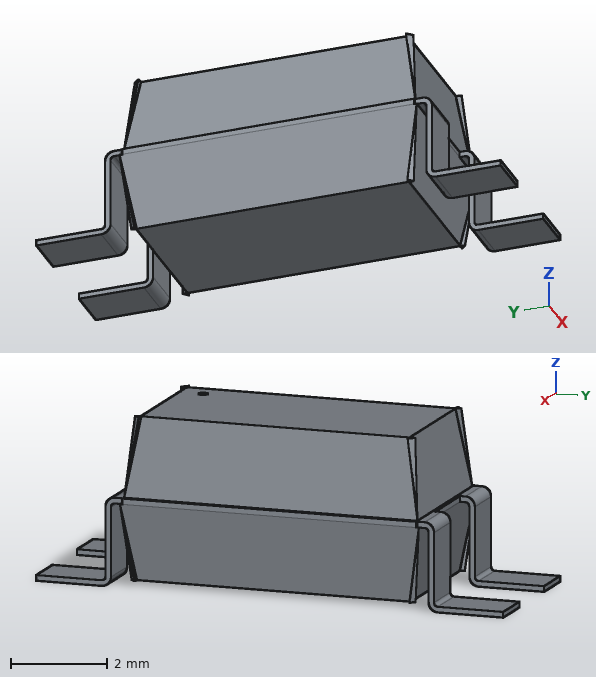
import cadquery as cq

overall_length = 10.3
overall_height = 3.6
metal_thickness = 0.12
frame_top = 1.91
frame_bottom = frame_top - metal_thickness
body_bottom = metal_thickness

frame_width = 3.6
frame_length = 6.59
frame_corner = 0.06

taper_inset = 0.27
upper_width = 3.42
upper_length = 6.47
upper_fin = 0.12
lower_fin = 0.1
fin_overlap = 0.02

lead_inner_x = 0.76
lead_outer_x = 1.78
lead_shoulder_y = 3.63
bend_inner_radius = 0.08

mark_diameter = 0.2
mark_depth = 0.05
mark_x = -0.97
mark_y = -2.44


def corner_fin(half_x, half_y, start_z, end_z, size):
    """Sharp fin on the +X +Y corner, growing from a point to a triangle."""
    end_x = half_x - taper_inset
    end_y = half_y - taper_inset
    tip = cq.Vector(half_x, half_y, start_z)
    root = cq.Vector(end_x - fin_overlap, end_y - fin_overlap, end_z)
    along_x = cq.Vector(end_x + size, end_y, end_z)
    along_y = cq.Vector(end_x, end_y + size, end_z)
    triangles = [
        (root, along_x, along_y),
        (tip, root, along_x),
        (tip, along_x, along_y),
        (tip, along_y, root),
    ]
    faces = [cq.Face.makeFromWires(cq.Wire.makePolygon(points, close=True)) for points in triangles]
    return cq.Workplane(cq.Solid.makeSolid(cq.Shell.makeShell(faces)))


def body_half(width, length, start_z, end_z, fin_size):
    """Body half narrowing from start_z to end_z, with a fin on each corner."""
    half = (
        cq.Workplane("XY").workplane(offset=start_z)
        .rect(width, length)
        .workplane(offset=end_z - start_z)
        .rect(width - 2 * taper_inset, length - 2 * taper_inset)
        .loft(ruled=True)
    )
    fin = corner_fin(width / 2, length / 2, start_z, end_z, fin_size)
    fin_pair = fin.union(fin.mirror("YZ"))
    return half.union(fin_pair).union(fin_pair.mirror("XZ"))


def lead():
    """Lead at +X +Y: out of the frame, down, then outward along the foot."""
    outer_radius = bend_inner_radius + metal_thickness
    inner_y = lead_shoulder_y - metal_thickness
    root_y = frame_length / 2 - taper_inset
    profile = (
        cq.Workplane("YZ").workplane(offset=lead_inner_x)
        .moveTo(root_y, frame_bottom)
        .lineTo(root_y, frame_top)
        .lineTo(lead_shoulder_y, frame_top)
        .lineTo(lead_shoulder_y, metal_thickness)
        .lineTo(overall_length / 2, metal_thickness)
        .lineTo(overall_length / 2, 0)
        .lineTo(inner_y, 0)
        .lineTo(inner_y, frame_bottom)
        .close()
    )
    strip = profile.extrude(lead_outer_x - lead_inner_x)

    def bend_edge(y, z):
        middle_x = (lead_inner_x + lead_outer_x) / 2
        return cq.selectors.NearestToPointSelector((middle_x, y, z))

    strip = strip.edges(bend_edge(lead_shoulder_y, frame_top)).fillet(outer_radius)
    strip = strip.edges(bend_edge(inner_y, frame_bottom)).fillet(bend_inner_radius)
    strip = strip.edges(bend_edge(inner_y, 0)).fillet(outer_radius)
    return strip.edges(bend_edge(lead_shoulder_y, metal_thickness)).fillet(bend_inner_radius)


frame = (
    cq.Workplane("XY").workplane(offset=frame_bottom)
    .rect(frame_width, frame_length)
    .extrude(metal_thickness)
    .edges("|Z").chamfer(frame_corner)
)

upper = body_half(upper_width, upper_length, frame_top, overall_height, upper_fin)
lower = body_half(frame_width, frame_length, frame_bottom, body_bottom, lower_fin)
result = frame.union(upper).union(lower)

lead_pair = lead().union(lead().mirror("YZ"))
result = result.union(lead_pair).union(lead_pair.mirror("XZ"))

mark = (
    cq.Workplane("XY").workplane(offset=overall_height - mark_depth)
    .center(mark_x, mark_y)
    .circle(mark_diameter / 2)
    .extrude(mark_depth)
)
result = result.cut(mark)